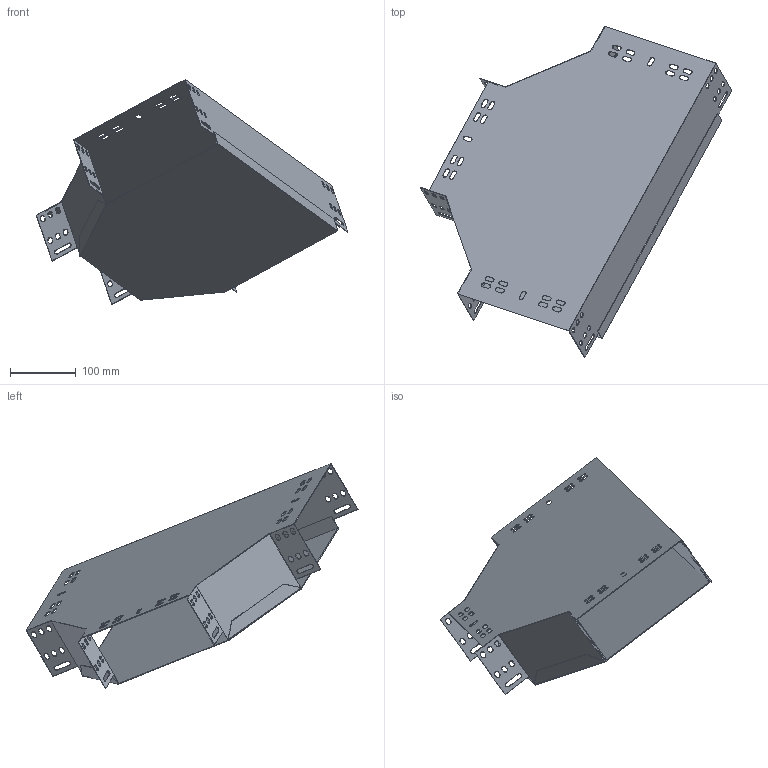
import cadquery as cq
import math

sheet = 1.0
channel_width = 201.3
total_height = 101.3
gusset = 100.0
tab_length = 45.7
tab_height = 84.5
branch_floor_setback = 15.5

body_half_length = channel_width / 2 + gusset
half_length = body_half_length + tab_length
half_width = channel_width / 2
body_reach = channel_width + gusset
branch_reach = body_reach + tab_length
wall_height = total_height - sheet

floor_slot_length = 15.0
floor_slot_width = 7.0
floor_row_setbacks = (27.5, 39.5)
floor_column_offsets = (-64.0, -39.0, 39.0, 64.0)
centre_slot_setback = 31.3

oval_length = 10.0
oval_width = 7.0
oval_setbacks = (8.0, 21.8, 35.6)
oval_heights = (11.0, 51.0)
long_slot_length = 29.0
long_slot_width = 7.0
long_slot_setback = 23.0
long_slot_height = 74.2

lip_rise = 21.3
lip_mitre = lip_rise

first_turn = 144.16
tilt = 145.73
last_turn = 30.40


def block(x_min, x_max, y_min, y_max, z_min, z_max):
    size = (x_max - x_min, y_max - y_min, z_max - z_min)
    return cq.Workplane("XY").box(*size, centered=False).translate((x_min, y_min, z_min))


def tee_prism(inset, end_extension, z_min, z_max):
    """Tee outline with its side walls moved inward by inset and its three ends moved outward."""
    corner_shift = inset * math.tan(math.radians(22.5))
    end_x = half_length + end_extension
    end_y = branch_reach + end_extension
    corner_x = body_half_length + corner_shift
    side_y = channel_width - inset
    side_x = half_width - inset
    corner_y = body_reach + corner_shift
    right_half = [(end_x, inset), (end_x, side_y), (corner_x, side_y), (side_x, corner_y), (side_x, end_y)]
    left_half = [(-x, y) for x, y in reversed(right_half)]
    outline = cq.Workplane("XY").workplane(offset=z_min).polyline(right_half + left_half).close()
    return outline.extrude(z_max - z_min)


def slot_cutter(plane, points, length, width, angle, depth):
    """Round-ended slots through everything within depth on both sides of the plane."""
    return cq.Workplane(plane).pushPoints(points).slot2D(length, width, angle).extrude(depth, both=True)


def branch_frame(shape):
    """Moves a cutter made for a channel leaving the origin along +y so that it fits the branch."""
    return shape.translate((0, branch_reach, 0))


def run_frame(shape, side):
    """Moves a cutter made for a channel leaving the origin along +y to one end of the run."""
    return shape.rotate((0, 0, 0), (0, 0, 1), -90 * side).translate((side * half_length, half_width, 0))


def coupling_cutter():
    """All holes of one coupling end: the end is at y = 0, its channel centred on x = 0."""
    floor_points = [(x, -y) for x in floor_column_offsets for y in floor_row_setbacks]
    floor_slots = slot_cutter("XY", floor_points, floor_slot_length, floor_slot_width, 0, 2 * sheet)
    centre_point = [(0, -centre_slot_setback)]
    centre_slot = slot_cutter("XY", centre_point, floor_slot_length, floor_slot_width, 90, 2 * sheet)
    oval_points = [(-y, z) for y in oval_setbacks for z in oval_heights]
    ovals = slot_cutter("YZ", oval_points, oval_length, oval_width, 90, channel_width)
    long_point = [(-long_slot_setback, long_slot_height)]
    long_slot = slot_cutter("YZ", long_point, long_slot_length, long_slot_width, 0, channel_width)
    clearance = block(-channel_width, channel_width, -tab_length, sheet, tab_height, total_height)
    return floor_slots.add(centre_slot).add(ovals).add(long_slot).add(clearance).combine()


def make_tray():
    tray = tee_prism(0, 0, 0, wall_height)
    tray = tray.cut(tee_prism(sheet, sheet, sheet, total_height))
    cutter = coupling_cutter()
    tray = tray.cut(branch_frame(cutter))
    for side in (-1, 1):
        tray = tray.cut(run_frame(cutter, side))
    floor_end = branch_reach - branch_floor_setback
    inner_half_width = half_width - sheet
    return tray.cut(block(-inner_half_width, inner_half_width, floor_end, branch_reach, 0, sheet))


def make_diagonal_lip():
    """Lip outside the diagonal wall on the +x side, mitred at both ends."""
    wall_plane = cq.Plane(
        origin=(half_width, body_reach, wall_height), xDir=(1, -1, 0), normal=(1, 1, 0)
    )
    foot_start = -sheet
    foot_end = gusset * math.sqrt(2) + sheet
    outline = [
        (foot_start, 0),
        (foot_start + lip_mitre, lip_rise),
        (foot_end - lip_mitre, lip_rise),
        (foot_end, 0),
    ]
    return cq.Workplane(wall_plane).polyline(outline).close().extrude(sheet)


def make_cover():
    lip_offset = sheet * math.sqrt(2)
    right_half = [
        (body_half_length, -sheet),
        (body_half_length, channel_width + lip_offset),
        (half_width + lip_offset, body_reach),
    ]
    left_half = [(-x, y) for x, y in reversed(right_half)]
    plate = cq.Workplane("XY").workplane(offset=wall_height).polyline(right_half + left_half).close()
    cover = plate.extrude(sheet)
    lip_top = wall_height - lip_rise
    cover = cover.union(block(-body_half_length, body_half_length, -sheet, 0, lip_top, wall_height))
    diagonal_lip = make_diagonal_lip()
    return cover.union(diagonal_lip).union(diagonal_lip.mirror("YZ"))


def orient(shape):
    turned = shape.rotate((0, 0, 0), (0, 0, 1), first_turn)
    return turned.rotate((0, 0, 0), (1, 0, 0), tilt).rotate((0, 0, 0), (0, 0, 1), last_turn)


tray = orient(make_tray())
cover = orient(make_cover())
result = cq.Compound.makeCompound([tray.val(), cover.val()])